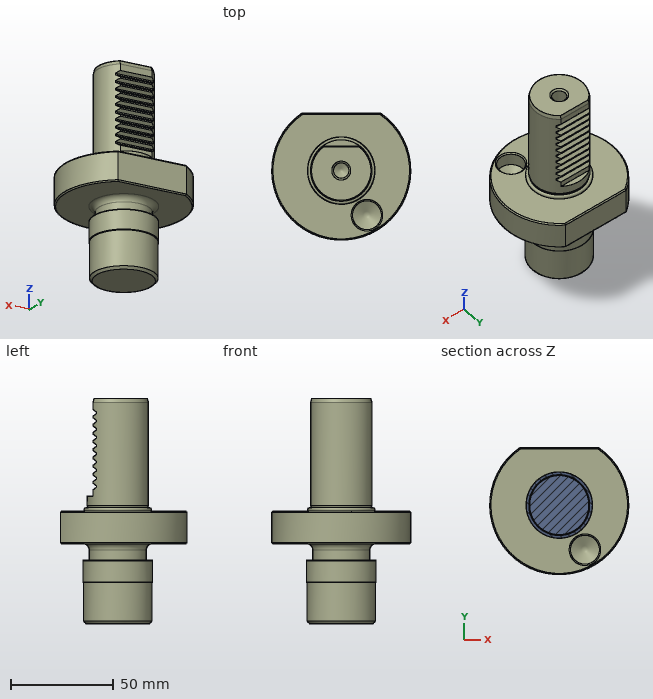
import cadquery as cq
import math

shank_top = 55.0
shank_bottom = 2.6
flange_thickness = 16.0
fillet_bottom = -19.0
collar_top = -24.0
collar_bottom = -34.9
spigot_bottom = -55.0

shank_diameter = 30.0
shank_radius = shank_diameter / 2
undercut_radius = 14.5
flange_radius = 34.0
neck_radius = 14.0
collar_radius = 17.0
spigot_diameter = 33.5
spigot_radius = spigot_diameter / 2

shank_lead_height = 2.0
shank_lead_width = 0.5
flange_chamfer = 0.7
collar_chamfer_height = 0.3
collar_chamfer_width = 0.16
spigot_chamfer = 1.3

flange_flat_y = 28.0
rack_flat_y = 12.1
rack_flat_bottom = 7.4

groove_count = 10
highest_groove_z = 48.0
lowest_groove_z = 12.0
groove_pitch = (highest_groove_z - lowest_groove_z) / (groove_count - 1)
groove_depth = 1.6
groove_mouth_width = 3.3
groove_root_width = 0.7

drill_point_angle = 118.0
centre_hole_radius = 3.7
centre_hole_depth = 16.5
centre_hole_chamfer = 0.9
side_hole_x = 12.5
side_hole_y = -21.8
side_hole_radius = 7.0
side_hole_depth = 7.7
side_hole_chamfer = 0.7

ring_section_radius = 1.0
ring_centre_z = 0.7
ring_centre_radius = undercut_radius + ring_section_radius
undercut_bottom = ring_centre_z + ring_section_radius

cutter_size = 4 * flange_radius


def turned_blank():
    """Shank, neck, collar and spigot turned about Z, with a plain core where the flange joins."""
    fillet_radius = -flange_thickness - fillet_bottom
    fillet_run = fillet_radius * (1 - math.sqrt(0.5))
    return (
        cq.Workplane("XZ")
        .moveTo(0, shank_top)
        .lineTo(shank_radius - shank_lead_width, shank_top)
        .lineTo(shank_radius, shank_top - shank_lead_height)
        .lineTo(shank_radius, shank_bottom)
        .lineTo(undercut_radius, undercut_bottom)
        .lineTo(undercut_radius, -flange_chamfer)
        .lineTo(neck_radius + fillet_radius, -flange_chamfer)
        .lineTo(neck_radius + fillet_radius, -flange_thickness)
        .threePointArc(
            (neck_radius + fillet_run, -flange_thickness - fillet_run),
            (neck_radius, fillet_bottom),
        )
        .lineTo(neck_radius, collar_top)
        .lineTo(collar_radius - collar_chamfer_width, collar_top)
        .lineTo(collar_radius, collar_top - collar_chamfer_height)
        .lineTo(collar_radius, collar_bottom + collar_chamfer_height)
        .lineTo(collar_radius - collar_chamfer_width, collar_bottom)
        .lineTo(spigot_radius, collar_bottom)
        .lineTo(spigot_radius, spigot_bottom + spigot_chamfer)
        .lineTo(spigot_radius - spigot_chamfer, spigot_bottom)
        .lineTo(0, spigot_bottom)
        .close()
        .revolve(360, (0, 0, 0), (0, 1, 0))
    )


def flange():
    """Round disc with one flat side, chamfered all round at both faces."""
    disc = cq.Workplane("XY").circle(flange_radius).extrude(-flange_thickness)
    beyond_flat = (
        cq.Workplane("XY")
        .box(cutter_size, cutter_size, cutter_size)
        .translate((0, flange_flat_y + cutter_size / 2, 0))
    )
    return disc.cut(beyond_flat).faces("|Z").edges().chamfer(flange_chamfer)


def across_x(outline):
    """Block with the given (Y, Z) outline, running right across the shank along X."""
    return cq.Workplane("YZ").polyline(outline).close().extrude(shank_radius, both=True)


def rack_flat():
    """Material removed for the shank flat, including the sloped lead-in at its top."""
    return across_x([
        (rack_flat_y, rack_flat_bottom),
        (rack_flat_y, shank_top - shank_lead_height),
        (rack_flat_y - shank_lead_width, shank_top),
        (2 * shank_radius, shank_top),
        (2 * shank_radius, rack_flat_bottom),
    ])


def rack_groove(centre_z):
    """One V-groove with a narrow flat root."""
    root_y = rack_flat_y - groove_depth
    return across_x([
        (rack_flat_y, centre_z + groove_mouth_width / 2),
        (root_y, centre_z + groove_root_width / 2),
        (root_y, centre_z - groove_root_width / 2),
        (rack_flat_y, centre_z - groove_mouth_width / 2),
    ])


def drilled_hole(x, y, top_z, radius, depth, chamfer):
    """Blind hole with a chamfered mouth and a drill-point bottom."""
    point_height = radius / math.tan(math.radians(drill_point_angle / 2))
    return (
        cq.Workplane("XZ")
        .moveTo(0, 0)
        .lineTo(radius + chamfer, 0)
        .lineTo(radius, -chamfer)
        .lineTo(radius, -depth)
        .lineTo(0, -depth - point_height)
        .close()
        .revolve(360, (0, 0, 0), (0, 1, 0))
        .translate((x, y, top_z))
    )


def make_sealing_ring():
    """Ring of round section, seated in the flange face around the undercut."""
    return (
        cq.Workplane("XZ")
        .center(ring_centre_radius, ring_centre_z)
        .circle(ring_section_radius)
        .revolve(360, (-ring_centre_radius, 0, 0), (-ring_centre_radius, 1, 0))
    )


def make_holder(ring):
    """Toolholder body, with a seat that matches the sealing ring."""
    body = turned_blank().union(flange())
    body = body.cut(rack_flat())
    for index in range(groove_count):
        body = body.cut(rack_groove(highest_groove_z - index * groove_pitch))
    body = body.cut(drilled_hole(
        0, 0, shank_top, centre_hole_radius, centre_hole_depth, centre_hole_chamfer))
    body = body.cut(drilled_hole(
        side_hole_x, side_hole_y, 0, side_hole_radius, side_hole_depth, side_hole_chamfer))
    return body.cut(ring).solids()


sealing_ring = make_sealing_ring()
holder = make_holder(sealing_ring)

result = cq.Compound.makeCompound([holder.val(), sealing_ring.val()])